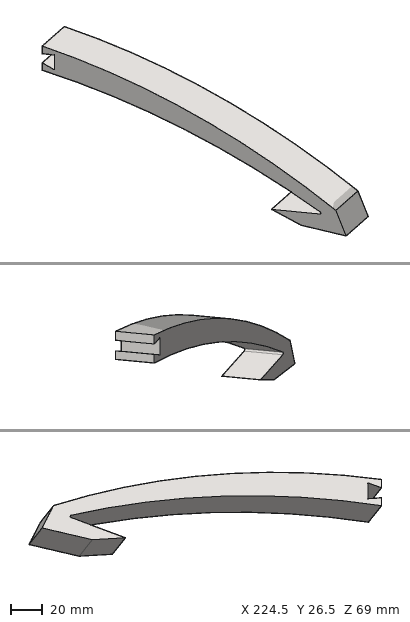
import cadquery as cq

length = 224.5
width = 26.5
height = 69.0

arm_thickness = 18.2
arc_mid_x = 124.3
top_mid_drop = 15.7
bottom_mid_drop = 30.3
shoulder_x = 216.8
shoulder_drop = 49.0

slot_depth = 9.0
slot_center_drop = 9.2
slot_mouth = 6.7
slot_floor = 11.0

throat_x = 207.8
throat_drop = 55.0
throat_radius = 1.0
barb_tip_x = 169.2
barb_tip_drop = 64.5
barb_heel_x = 191.2
nose_drop = 65.5


def side_profile():
    """Closed side outline of the curved arm and its hook."""
    return (
        cq.Workplane("XZ")
        .moveTo(0, 0)
        .threePointArc((arc_mid_x, -top_mid_drop), (shoulder_x, -shoulder_drop))
        .lineTo(length, -nose_drop)
        .lineTo(barb_heel_x, -height)
        .lineTo(barb_tip_x, -barb_tip_drop)
        .lineTo(throat_x, -throat_drop)
        .threePointArc((arc_mid_x, -bottom_mid_drop), (0, -arm_thickness))
        .close()
    )


def dovetail_slot():
    """Full-width slot that widens from its mouth to its floor."""
    return (
        cq.Workplane("XZ")
        .moveTo(0, -slot_center_drop + slot_mouth / 2)
        .lineTo(slot_depth, -slot_center_drop + slot_floor / 2)
        .lineTo(slot_depth, -slot_center_drop - slot_floor / 2)
        .lineTo(0, -slot_center_drop - slot_mouth / 2)
        .close()
        .extrude(width)
    )


body = side_profile().extrude(width)

throat_point = (throat_x, -width / 2, -throat_drop)
body = body.edges(cq.selectors.NearestToPointSelector(throat_point)).fillet(throat_radius)

result = body.cut(dovetail_slot())